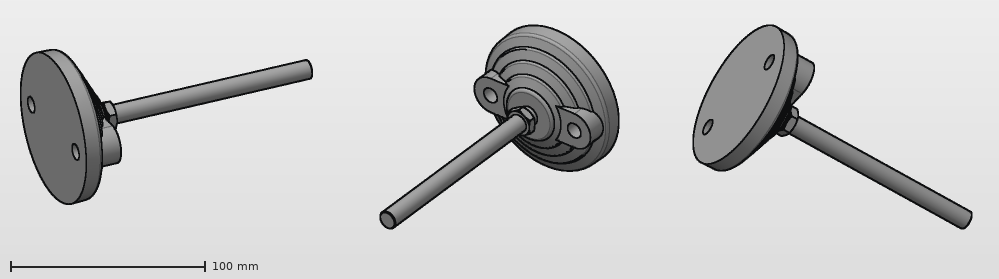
import cadquery as cq
import math

TOTAL_LENGTH = 145.0

RIM_DIAMETER = 80.0
RIM_DRAFT = 0.3
RIM_HEIGHT = 8.0
RIM_LIP_RADIUS = 1.9
CONE_TOP_HEIGHT = 24.0
TOP_LIP_DIAMETER = 30.5
TOP_LIP_RADIUS = 1.7
STEP_COUNT = 3
STEP_DROP = 3.5
STEP_LIP_RADIUS = 1.5
SLOPE_RISE = 1.35
SLOPE_RUN = 3.2

HOLE_DIAMETER = 8.5
HOLE_SPACING = 54.0
BOSS_WIDTH = 21.0
BOSS_HEIGHT = 21.0

ROD_DIAMETER = 10.0
ROD_CHAMFER = 0.5
NECK_DIAMETER = 11.0
NECK_LENGTH = 4.0
HEX_ACROSS_FLATS = 14.0
HEX_THICKNESS = 4.8
HEX_CHAMFER_ANGLE = 30.0
HEX_HALF_ANGLE = 30.0

RIM_RADIUS = RIM_DIAMETER / 2
RIM_TOP_RADIUS = RIM_RADIUS - RIM_DRAFT
TOP_LIP_OUTER = TOP_LIP_DIAMETER / 2
TOP_LIP_BASE = CONE_TOP_HEIGHT - TOP_LIP_RADIUS
STEP_RUN = (RIM_TOP_RADIUS - TOP_LIP_OUTER) / (STEP_COUNT + 1)
SLOPE_NORMAL = math.atan2(SLOPE_RUN, SLOPE_RISE)
HEX_BASE = CONE_TOP_HEIGHT + NECK_LENGTH
HEX_TOP = HEX_BASE + HEX_THICKNESS


def plane_at(height):
    """Sketch plane facing +Y at the given height above the bottom."""
    return cq.Workplane(cq.Plane(origin=(0, height, 0), xDir=(1, 0, 0), normal=(0, 1, 0)))


def add_lip(profile, outer_radius, base_height, lip_radius, start_angle):
    """Continue the profile to a rounded lip that ends upright at its outer radius."""
    def on_arc(angle):
        return (outer_radius - lip_radius * (1 - math.cos(angle)),
                base_height + lip_radius * math.sin(angle))

    profile = profile.lineTo(*on_arc(start_angle))
    return profile.threePointArc(on_arc(start_angle / 2), on_arc(0))


def make_stepped_cone():
    """Revolved plate and cone, outlined from the top centre down to the rim."""
    profile = cq.Workplane("XY").moveTo(0, 0).lineTo(0, CONE_TOP_HEIGHT)
    profile = add_lip(profile, TOP_LIP_OUTER, TOP_LIP_BASE, TOP_LIP_RADIUS, math.pi / 2)
    for step in range(1, STEP_COUNT + 1):
        outer_radius = TOP_LIP_OUTER + step * STEP_RUN
        base_height = TOP_LIP_BASE - step * STEP_DROP
        profile = add_lip(profile, outer_radius, base_height, STEP_LIP_RADIUS, SLOPE_NORMAL)
    profile = add_lip(profile, RIM_TOP_RADIUS, RIM_HEIGHT, RIM_LIP_RADIUS, SLOPE_NORMAL)
    return profile.lineTo(RIM_RADIUS, 0).close().revolve(360, (0, 0, 0), (0, 1, 0))


def make_foot():
    """Stepped cone joined with the long boss that carries both screw holes."""
    bosses = plane_at(0).slot2D(HOLE_SPACING + BOSS_WIDTH, BOSS_WIDTH).extrude(BOSS_HEIGHT)
    hole_centres = [(-HOLE_SPACING / 2, 0), (HOLE_SPACING / 2, 0)]
    holes = plane_at(0).pushPoints(hole_centres).circle(HOLE_DIAMETER / 2).extrude(BOSS_HEIGHT)
    return make_stepped_cone().union(bosses).cut(holes)


def make_hexagon():
    """Hexagon with flats facing +X and -X, its corners chamfered at both ends."""
    flat_radius = HEX_ACROSS_FLATS / 2
    corner_radius = flat_radius / math.cos(math.radians(HEX_HALF_ANGLE))
    chamfer_drop = (corner_radius - flat_radius) * math.tan(math.radians(HEX_CHAMFER_ANGLE))
    prism = (
        plane_at(HEX_BASE)
        .transformed(rotate=(0, 0, HEX_HALF_ANGLE))
        .polygon(6, 2 * corner_radius)
        .extrude(HEX_THICKNESS)
    )
    chamfer_envelope = (
        cq.Workplane("XY")
        .moveTo(0, HEX_BASE)
        .lineTo(flat_radius, HEX_BASE)
        .lineTo(corner_radius, HEX_BASE + chamfer_drop)
        .lineTo(corner_radius, HEX_TOP - chamfer_drop)
        .lineTo(flat_radius, HEX_TOP)
        .lineTo(0, HEX_TOP)
        .close()
        .revolve(360, (0, 0, 0), (0, 1, 0))
    )
    return prism.intersect(chamfer_envelope)


def make_stud():
    """Neck standing on the foot, hexagon, and long rod with a chamfered tip."""
    neck = plane_at(CONE_TOP_HEIGHT).circle(NECK_DIAMETER / 2).extrude(NECK_LENGTH)
    rod = (
        plane_at(HEX_TOP)
        .circle(ROD_DIAMETER / 2)
        .extrude(TOTAL_LENGTH - HEX_TOP)
        .faces(">Y")
        .chamfer(ROD_CHAMFER)
    )
    return neck.union(make_hexagon()).union(rod)


foot = make_foot()
stud = make_stud()
result = cq.Compound.makeCompound([foot.val(), stud.val()])